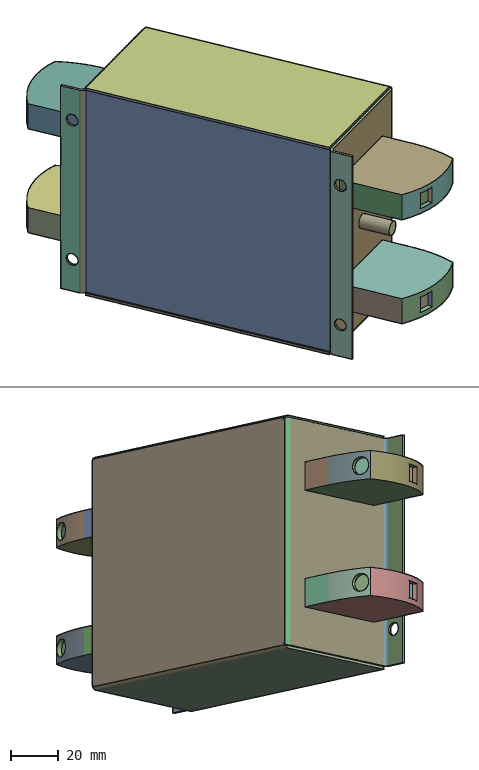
import cadquery as cq
import math

overall_length = 189.7
overall_depth = 60.1
overall_height = 100.0

sheet = 1.1
bend_radius = 2.5
case_width = 115.9
flange_span = 135.8
panel_recess = 0.8

back_y = overall_depth / 2
flange_front_y = -back_y
case_front_y = flange_front_y + sheet
bend_y = flange_front_y + bend_radius
panel_y = case_front_y + panel_recess
side_height = overall_height - 2 * sheet
cap_width = case_width - 2 * sheet

mount_hole_diameter = 5.5
mount_hole_spacing_x = 125.0
mount_hole_spacing_z = 67.1

handle_thickness = 12.1
handle_spacing_z = 50.0
handle_back_y = 19.2
handle_corner_y = 15.2
handle_front_y = -21.8
end_radius = 40.8
end_apex_y = 2.0
shoulder_start_x = 72.0

recess_depth = 2.3
window_height = 7.4
window_width = 6.8
window_y = -10.2
dimple_diameter = 7.5
dimple_x = 88.4

knob_radius = 3.2
knob_tip_x = 72.0


def block(x_size, y_min, y_max, z_size):
    """Box centred on X and Z, spanning y_min to y_max."""
    return cq.Workplane("XY").box(x_size, y_max - y_min, z_size).translate((0, (y_min + y_max) / 2, 0))


def make_case():
    """Closed case with bent back edges, notched corners and a recessed front panel."""
    sides = block(case_width, panel_y, back_y, side_height).edges("|Z and >Y").fillet(bend_radius)
    caps = block(cap_width, case_front_y, back_y, overall_height).edges("|X and >Y").fillet(bend_radius)
    recess = block(cap_width, case_front_y, panel_y, side_height)
    return sides.union(caps).cut(recess)


def make_flange():
    """Right-hand flange, bent outward from the side wall; the bend starts at bend_y."""
    inner_radius = bend_radius - sheet
    wall_inner_x = cap_width / 2
    wall_outer_x = case_width / 2
    tip_x = flange_span / 2
    bend_x = wall_inner_x + bend_radius
    diagonal = math.sqrt(0.5)
    return (
        cq.Workplane("XY", origin=(0, 0, -side_height / 2))
        .moveTo(wall_inner_x, bend_y)
        .threePointArc(
            (bend_x - bend_radius * diagonal, bend_y - bend_radius * diagonal),
            (bend_x, flange_front_y),
        )
        .lineTo(tip_x, flange_front_y)
        .lineTo(tip_x, case_front_y)
        .lineTo(bend_x, case_front_y)
        .threePointArc(
            (bend_x - inner_radius * diagonal, bend_y - inner_radius * diagonal),
            (wall_outer_x, bend_y),
        )
        .close()
        .extrude(side_height)
    )


def end_offset(y):
    """X distance from the centre of the handle end circle to its rim at the given Y."""
    return math.sqrt(end_radius**2 - (y - end_apex_y) ** 2)


def make_handle():
    """Right-hand handle at mid height, with its window and dimple."""
    tip_x = overall_length / 2
    end_centre_x = tip_x - end_radius
    root_x = cap_width / 2
    corner_x = end_centre_x + end_offset(handle_corner_y)
    shoulder_run = corner_x - shoulder_start_x
    shoulder_drop = handle_back_y - handle_corner_y
    shoulder_radius = (shoulder_run**2 + shoulder_drop**2) / (2 * shoulder_drop)

    handle = (
        cq.Workplane("XY", origin=(0, 0, -handle_thickness / 2))
        .moveTo(root_x, handle_front_y)
        .lineTo(end_centre_x + end_offset(handle_front_y), handle_front_y)
        .threePointArc((tip_x, end_apex_y), (corner_x, handle_corner_y))
        .radiusArc((shoulder_start_x, handle_back_y), -shoulder_radius)
        .lineTo(root_x, handle_back_y)
        .close()
        .extrude(handle_thickness)
    )

    window_normal = (end_offset(window_y), window_y - end_apex_y, 0)
    window_plane = cq.Plane(
        origin=(end_centre_x + end_offset(window_y), window_y, 0), xDir=(0, 0, 1), normal=window_normal
    )
    window = cq.Workplane(window_plane).rect(window_height, window_width).extrude(recess_depth, both=True)

    dimple_run = dimple_x - shoulder_start_x
    dimple_rise = math.sqrt(shoulder_radius**2 - dimple_run**2)
    dimple_plane = cq.Plane(
        origin=(dimple_x, handle_back_y - shoulder_radius + dimple_rise, 0),
        xDir=(0, 0, 1),
        normal=(dimple_run, dimple_rise, 0),
    )
    dimple = cq.Workplane(dimple_plane).circle(dimple_diameter / 2).extrude(recess_depth, both=True)
    return handle.cut(window).cut(dimple)


def make_knob():
    """Round knob standing on the centre of the +X wall."""
    root_x = cap_width / 2
    return cq.Workplane("YZ", origin=(root_x, 0, 0)).circle(knob_radius).extrude(knob_tip_x - root_x)


def make_mount_holes():
    """Cutters for the four flange holes."""
    return (
        cq.Workplane("XZ", origin=(0, case_front_y, 0))
        .rect(mount_hole_spacing_x, mount_hole_spacing_z, forConstruction=True)
        .vertices()
        .circle(mount_hole_diameter / 2)
        .extrude(sheet)
    )


right_side = make_flange()
for handle_z in (-handle_spacing_z / 2, handle_spacing_z / 2):
    right_side = right_side.add(make_handle().translate((0, 0, handle_z)))
right_side = right_side.combine()

result = make_case().union(right_side).union(right_side.mirror("YZ"))
result = result.union(make_knob()).cut(make_mount_holes())